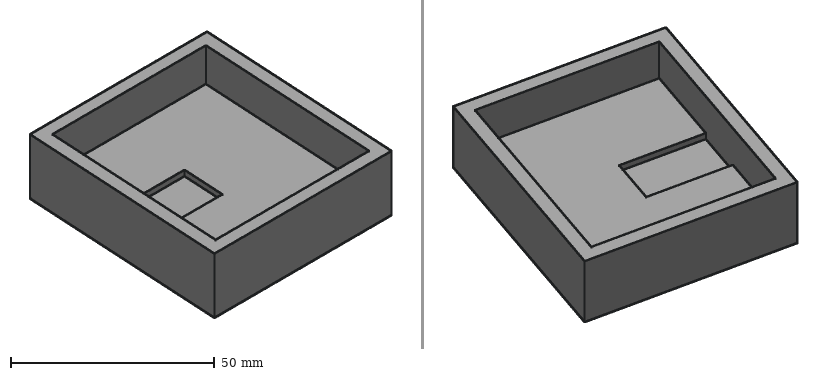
import cadquery as cq

length = 66.0
width = 60.0
height = 20.0

side_wall = 3.8
end_wall = 4.0
pocket_depth = 12.0

recess_length = 13.5
recess_width = 24.4
recess_depth = 2.0
recess_offset = -1.0

pocket_length = length - 2 * side_wall
pocket_width = width - 2 * end_wall
floor_height = height - pocket_depth
pocket_front = -pocket_width / 2


def block_down(size_x, size_y, depth, center_x, center_y, top):
    """Rectangular block reaching down from the given top height."""
    corner = (center_x - size_x / 2, center_y - size_y / 2, top - depth)
    return cq.Workplane("XY").box(size_x, size_y, depth, centered=False).translate(corner)


body = block_down(length, width, height, 0, 0, height)
pocket = block_down(pocket_length, pocket_width, pocket_depth, 0, 0, height)
recess = block_down(
    recess_length,
    recess_width,
    recess_depth,
    recess_offset,
    pocket_front + recess_width / 2,
    floor_height,
)

result = body.cut(pocket).cut(recess)